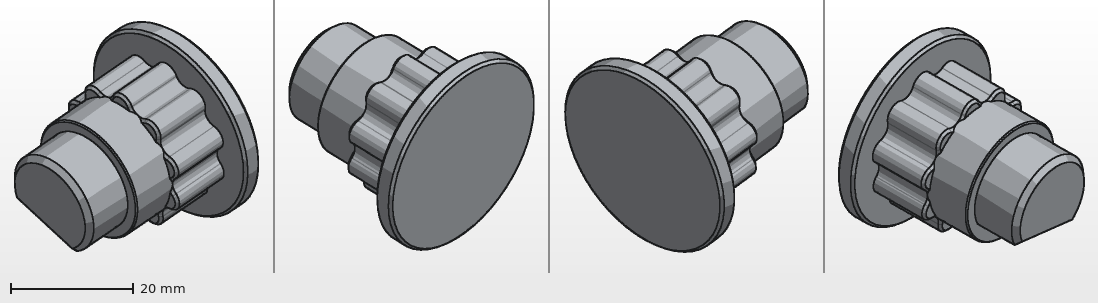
import cadquery as cq
import math

FLANGE_DIAMETER = 35.0
FLANGE_THICKNESS = 3.5
FLANGE_CHAMFER = 0.5

COLLAR_DIAMETER = 22.0
COLLAR_LENGTH = 8.0
COLLAR_CHAMFER = 0.25

LOBE_COUNT = 10
LOBE_RADIUS = 2.3
FIRST_LOBE_ANGLE = 19.7
SPLINE_DIAMETER = 26.0
SPLINE_LENGTH = 11.0
SPLINE_CHAMFER = 0.5

PIN_DIAMETER = 18.0
PIN_LENGTH = 9.0
PIN_CHAMFER = 1.0
FLAT_DISTANCE = 5.65
FLAT_ANGLE = -15.6

LOBE_PITCH = 360.0 / LOBE_COUNT
TIP_RADIUS = SPLINE_DIAMETER / 2
LOBE_CENTRE_RADIUS = TIP_RADIUS - LOBE_RADIUS
VALLEY_RADIUS = COLLAR_DIAMETER / 2


def section_plane(distance):
    """Workplane square to the shaft, facing -Y, at a distance from the rear face."""
    return cq.Workplane("XZ", origin=(0, -distance, 0))


def polar(radius, angle):
    """Point at a radius and an angle in degrees about the shaft axis."""
    radians = math.radians(angle)
    return (radius * math.cos(radians), radius * math.sin(radians))


def make_flange():
    disc = section_plane(0).circle(FLANGE_DIAMETER / 2).extrude(FLANGE_THICKNESS)
    return disc.edges().chamfer(FLANGE_CHAMFER)


def blend_radius():
    """Radius of the valley arc that touches both neighbouring lobes and the valley bottom."""
    half_pitch_cosine = math.cos(math.radians(LOBE_PITCH / 2))
    centre_offset_squared = (
        LOBE_CENTRE_RADIUS**2
        + VALLEY_RADIUS**2
        - 2 * LOBE_CENTRE_RADIUS * VALLEY_RADIUS * half_pitch_cosine
    )
    approach = VALLEY_RADIUS - LOBE_CENTRE_RADIUS * half_pitch_cosine - LOBE_RADIUS
    return (LOBE_RADIUS**2 - centre_offset_squared) / (2 * approach)


def tangent_point_polar():
    """Radius, and angle from the lobe, of the point where a lobe meets its valley arc."""
    blend = blend_radius()
    valley_x, valley_y = polar(VALLEY_RADIUS + blend, LOBE_PITCH / 2)
    share = LOBE_RADIUS / (LOBE_RADIUS + blend)
    x = LOBE_CENTRE_RADIUS + share * (valley_x - LOBE_CENTRE_RADIUS)
    y = share * valley_y
    return math.hypot(x, y), math.degrees(math.atan2(y, x))


def make_spline():
    tangent_radius, tangent_angle = tangent_point_polar()
    start = polar(tangent_radius, FIRST_LOBE_ANGLE - tangent_angle)
    outline = section_plane(FLANGE_THICKNESS).moveTo(*start)
    for index in range(LOBE_COUNT):
        lobe_angle = FIRST_LOBE_ANGLE + index * LOBE_PITCH
        next_lobe_angle = lobe_angle + LOBE_PITCH
        outline = outline.threePointArc(
            polar(TIP_RADIUS, lobe_angle),
            polar(tangent_radius, lobe_angle + tangent_angle),
        )
        outline = outline.threePointArc(
            polar(VALLEY_RADIUS, lobe_angle + LOBE_PITCH / 2),
            polar(tangent_radius, next_lobe_angle - tangent_angle),
        )
    spline = outline.close().extrude(SPLINE_LENGTH)
    return spline.faces("<Y").edges().chamfer(SPLINE_CHAMFER)


def make_collar():
    core_length = SPLINE_LENGTH + COLLAR_LENGTH
    core = section_plane(FLANGE_THICKNESS).circle(COLLAR_DIAMETER / 2).extrude(core_length)
    return core.faces("<Y").edges().chamfer(COLLAR_CHAMFER)


def make_pin():
    base = FLANGE_THICKNESS + SPLINE_LENGTH + COLLAR_LENGTH
    pin_radius = PIN_DIAMETER / 2
    half_flat_angle = math.degrees(math.acos(FLAT_DISTANCE / pin_radius))
    flat_normal_angle = FLAT_ANGLE - 90
    pin = (
        section_plane(base)
        .moveTo(*polar(pin_radius, flat_normal_angle + half_flat_angle))
        .threePointArc(
            polar(pin_radius, flat_normal_angle + 180),
            polar(pin_radius, flat_normal_angle - half_flat_angle),
        )
        .close()
        .extrude(PIN_LENGTH)
    )
    return pin.faces("<Y").edges().chamfer(PIN_CHAMFER)


result = make_flange().union(make_spline()).union(make_collar()).union(make_pin())